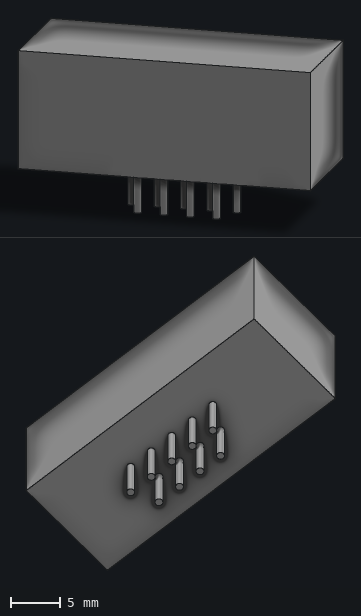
import cadquery as cq

housing_length = 30.8
housing_width = 12.55
overall_height = 17.55
pin_length = 5.08
housing_height = overall_height - pin_length

pin_diameter = 0.8
pin_pitch = 1.4
row_spacing = 2 * pin_pitch
pin_count = 9


def make_housing():
    """Plain block standing on the plane Z = 0."""
    return cq.Workplane("XY").box(
        housing_length, housing_width, housing_height, centered=(True, True, False)
    )


def make_pin(x, y):
    """Round pin hanging from the underside of the housing."""
    return cq.Workplane("XY").center(x, y).circle(pin_diameter / 2).extrude(-pin_length)


housing = make_housing()

pins = []
for index in range(pin_count):
    x = (index - (pin_count - 1) / 2) * pin_pitch
    side = 1 if index % 2 == 0 else -1
    pins.append(make_pin(x, side * row_spacing / 2))

result = cq.Compound.makeCompound([housing.val(), *[pin.val() for pin in pins]])